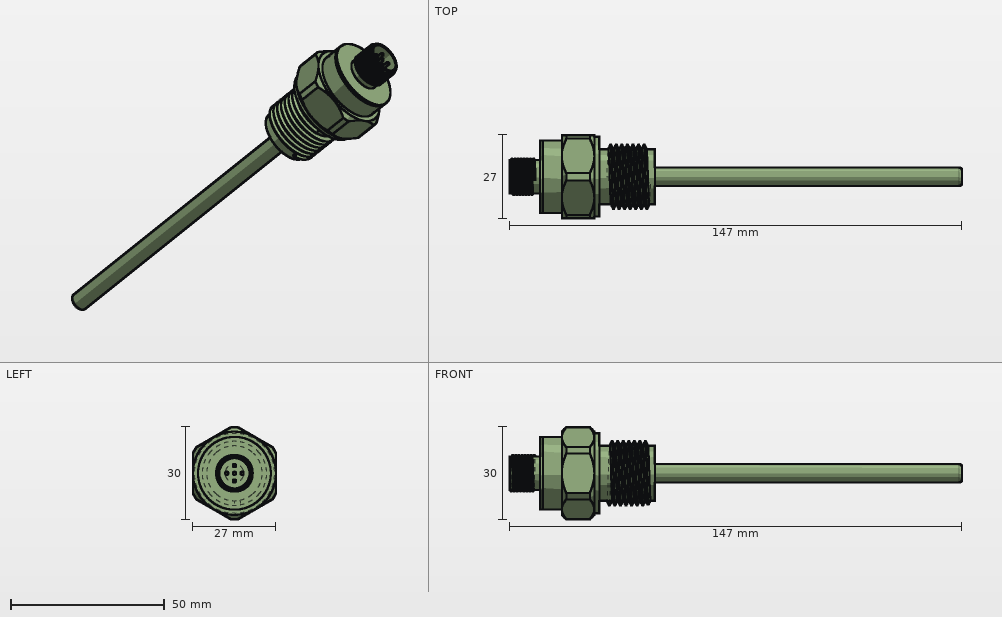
import cadquery as cq
import math

length = 147.0
connector_thread_end = 8.5
flange_start = 9.8
flange_end = 10.7
hex_start = 16.9
hex_end = 27.5
washer_end = 29.1
pipe_thread_start = 31.5
pipe_thread_end = 45.9
fitting_end = 47.2

connector_root = 11.0
connector_crest = 11.9
socket_bore = 9.8
collar_diameter = 23.7
hex_flats = 27.0
hex_corners = 30.0
washer_diameter = 26.0
pipe_root = 18.0
pipe_crest = 20.9
probe_diameter = 6.0
pin_diameter = 1.0

connector_pitch = 1.0
pipe_pitch = 1.81
hex_chamfer = 1.5
tip_radius = 1.0
socket_depth = 5.9
pin_length = 5.0
pin_circle_radius = 2.5
outer_pin_count = 4
thread_embed = 0.1
ridge_fill = 0.96
crest_fill = 0.1


def cylinder(start, end, diameter):
    """Round bar on the X axis between two stations."""
    return cq.Workplane("YZ", origin=(start, 0, 0)).circle(diameter / 2).extrude(end - start)


def thread_ridge(start, end, root_diameter, crest_diameter, pitch):
    """Right-handed V ridge winding around the X axis between two stations."""
    inner = root_diameter / 2 - thread_embed
    crest = crest_diameter / 2
    base_half = ridge_fill * pitch / 2
    crest_half = crest_fill * pitch / 2
    path = cq.Wire.makeHelix(pitch, end - start - pitch, root_diameter / 2)
    profile = cq.Workplane("XZ").polyline([
        (inner, -base_half),
        (crest, -crest_half),
        (crest, crest_half),
        (inner, base_half),
    ]).close()
    ridge = profile.sweep(cq.Workplane(path), isFrenet=True)
    return ridge.rotate((0, 0, 0), (0, 1, 0), 90).translate((start + pitch / 2, 0, 0))


def make_hexagon():
    """Hexagon with its corners turned round and both ends chamfered."""
    hexagon = (
        cq.Workplane("YZ", origin=(hex_start, 0, 0))
        .polygon(6, hex_flats / math.cos(math.pi / 6))
        .extrude(hex_end - hex_start)
        .rotate((0, 0, 0), (1, 0, 0), 90)
    )
    turned = cylinder(hex_start, hex_end, hex_corners).edges().chamfer(hex_chamfer)
    return hexagon.intersect(turned)


def make_connector():
    """Threaded male connector with a thin flange, a socket and contact pins."""
    shell = (
        cylinder(0, flange_start, connector_root)
        .union(thread_ridge(0, connector_thread_end, connector_root, connector_crest, connector_pitch))
        .union(cylinder(flange_start, flange_end, collar_diameter))
        .cut(cylinder(0, socket_depth, socket_bore))
    )
    pin_tip = socket_depth - pin_length
    outer_pins = (
        cq.Workplane("YZ", origin=(pin_tip, 0, 0))
        .polarArray(pin_circle_radius, 0, 360, outer_pin_count)
        .circle(pin_diameter / 2)
        .extrude(pin_length)
    )
    centre_pin = cylinder(pin_tip, socket_depth, pin_diameter)
    return shell.union(outer_pins).union(centre_pin)


def make_fitting():
    """Screw-in fitting: collar, hexagon, washer face, pipe thread and probe tube."""
    probe = cylinder(fitting_end, length, probe_diameter).faces(">X").edges().fillet(tip_radius)
    return (
        cylinder(flange_end, hex_start, collar_diameter)
        .union(make_hexagon())
        .union(cylinder(hex_end, washer_end, washer_diameter))
        .union(cylinder(washer_end, fitting_end, pipe_root))
        .union(thread_ridge(pipe_thread_start, pipe_thread_end, pipe_root, pipe_crest, pipe_pitch))
        .union(probe)
    )


connector = make_connector()
fitting = make_fitting()

result = cq.Compound.makeCompound([connector.val(), fitting.val()])